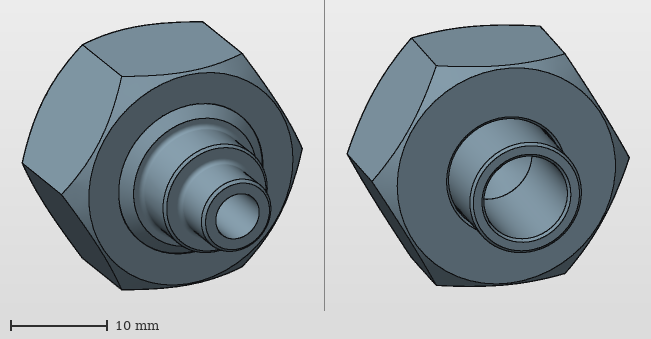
import cadquery as cq
import math

LENGTH = 32.0
EDGE_CHAMFER = 0.3
PIPE_DIA = 12.0

NUT_START = 7.5
NUT_END = 21.0
NUT_FLATS = 24.0
NUT_FACE_DIA = 23.5
NUT_MOUTH_DIA = 12.3
NUT_WALL = 3.0

TAIL_BORE_DIA = 9.0
COLLAR_DIA = 14.95
COLLAR_LENGTH = 3.0

ADAPTER_DIA = 16.6
ADAPTER_END = 22.0
ADAPTER_CHAMFER = 1.2
SHOULDER_END = 27.0
TIP_DIA = 8.0
TIP_CHAMFER = 0.32
THROUGH_DIA = 5.0
ROOT_FILLET = 0.48

collar_start = NUT_START + NUT_WALL
joint = collar_start + COLLAR_LENGTH


def cylinder(start, end, diameter):
    """Round bar along X between two stations."""
    return cq.Workplane("YZ", origin=(start, 0, 0)).circle(diameter / 2).extrude(end - start)


def cone(start, end, start_diameter, end_diameter):
    """Solid cone frustum along X between two stations."""
    axis = cq.Vector(1, 0, 0)
    base = cq.Vector(start, 0, 0)
    frustum = cq.Solid.makeCone(start_diameter / 2, end_diameter / 2, end - start, base, axis)
    return cq.Workplane(frustum)


def make_nut():
    """Hexagon nut with conical corner chamfers, a narrow mouth and a wide bore."""
    corner_dia = NUT_FLATS / math.cos(math.pi / 6)
    corner_chamfer = (corner_dia - NUT_FACE_DIA) / 2
    hexagon = cq.Workplane("YZ", origin=(NUT_START, 0, 0)).polygon(6, corner_dia).extrude(NUT_END - NUT_START)
    envelope = cylinder(NUT_START, NUT_END, corner_dia).faces("<X or >X").chamfer(corner_chamfer)
    mouth_chamfer = cone(
        NUT_START, NUT_START + EDGE_CHAMFER, NUT_MOUTH_DIA + 2 * EDGE_CHAMFER, NUT_MOUTH_DIA
    )
    return (
        hexagon.intersect(envelope)
        .cut(cylinder(NUT_START, NUT_END, NUT_MOUTH_DIA))
        .cut(mouth_chamfer)
        .cut(cylinder(collar_start, joint, COLLAR_DIA))
        .cut(cylinder(joint, NUT_END, ADAPTER_DIA))
    )


def make_tailpiece():
    """Plain tube with chamfered open end and a retaining collar at the joint."""
    tube = cylinder(0, joint, PIPE_DIA).faces("<X").chamfer(EDGE_CHAMFER)
    mouth_chamfer = cone(0, EDGE_CHAMFER, TAIL_BORE_DIA + 2 * EDGE_CHAMFER, TAIL_BORE_DIA)
    return (
        tube.union(cylinder(collar_start, joint, COLLAR_DIA))
        .cut(cylinder(0, joint, TAIL_BORE_DIA))
        .cut(mouth_chamfer)
    )


def root_fillet(station, diameter):
    """Concave ring that blends a cylinder into the shoulder face at the station."""
    radius = diameter / 2
    sag = ROOT_FILLET * (1 - math.sqrt(0.5))
    return (
        cq.Workplane("XY")
        .moveTo(station, radius - ROOT_FILLET)
        .lineTo(station, radius + ROOT_FILLET)
        .threePointArc((station + sag, radius + sag), (station + ROOT_FILLET, radius))
        .lineTo(station + ROOT_FILLET, radius - ROOT_FILLET)
        .close()
        .revolve(360, (0, 0, 0), (1, 0, 0))
    )


def make_adapter():
    """Stepped adapter with filleted shoulders and a bore with a conical entry."""
    entry_depth = (TAIL_BORE_DIA - THROUGH_DIA) / 2
    head = cylinder(joint, ADAPTER_END, ADAPTER_DIA).faces(">X").chamfer(ADAPTER_CHAMFER)
    shoulder = cylinder(ADAPTER_END, SHOULDER_END, PIPE_DIA).faces(">X").chamfer(EDGE_CHAMFER)
    tip = cylinder(SHOULDER_END, LENGTH, TIP_DIA).faces(">X").chamfer(TIP_CHAMFER)
    body = head.union(shoulder).union(tip)
    body = body.union(root_fillet(ADAPTER_END, PIPE_DIA)).union(root_fillet(SHOULDER_END, TIP_DIA))
    return (
        body.cut(cylinder(joint, LENGTH, THROUGH_DIA))
        .cut(cone(joint, joint + entry_depth, TAIL_BORE_DIA, THROUGH_DIA))
    )


nut = make_nut()
tailpiece = make_tailpiece()
adapter = make_adapter()

result = cq.Compound.makeCompound([nut.val(), tailpiece.val(), adapter.val()])